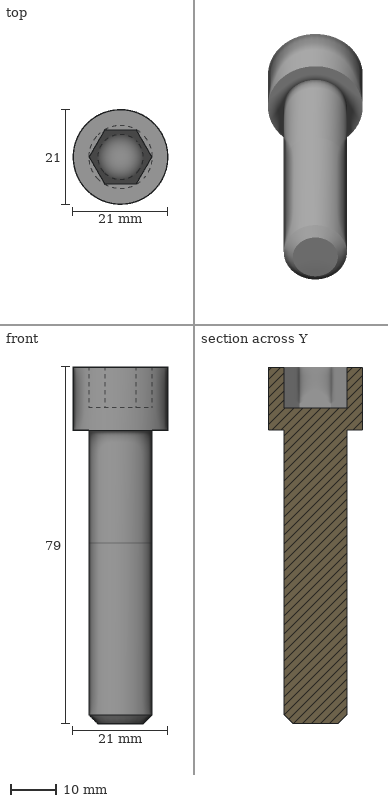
import cadquery as cq
import math

thread_diameter = 14.0
head_diameter = 1.5 * thread_diameter
head_height = thread_diameter
shank_length = 65.0
thread_length = 40.0
tip_chamfer = 2.0

socket_sides = 6
socket_across_flats = 12.0
socket_depth = 9.0

thread_radius = thread_diameter / 2
head_radius = head_diameter / 2
tip_z = -shank_length
thread_start_z = tip_z + thread_length


def make_cylinder(radius, bottom_z, top_z):
    """Solid cylinder on the Z axis between two heights."""
    return cq.Workplane("XY", origin=(0, 0, bottom_z)).circle(radius).extrude(top_z - bottom_z)


def make_thread():
    """Threaded portion at nominal diameter, chamfered at the tip."""
    return make_cylinder(thread_radius, tip_z, thread_start_z).faces("<Z").chamfer(tip_chamfer)


def make_socket():
    """Hexagonal socket volume with two of its corners on the X axis."""
    across_corners = socket_across_flats / math.cos(math.pi / socket_sides)
    return (
        cq.Workplane("XY", origin=(0, 0, head_height))
        .polygon(socket_sides, across_corners)
        .extrude(-socket_depth)
    )


head = make_cylinder(head_radius, 0, head_height).cut(make_socket())
plain_shank = make_cylinder(thread_radius, thread_start_z, 0)

result = head.union(plain_shank, clean=False).union(make_thread(), clean=False)